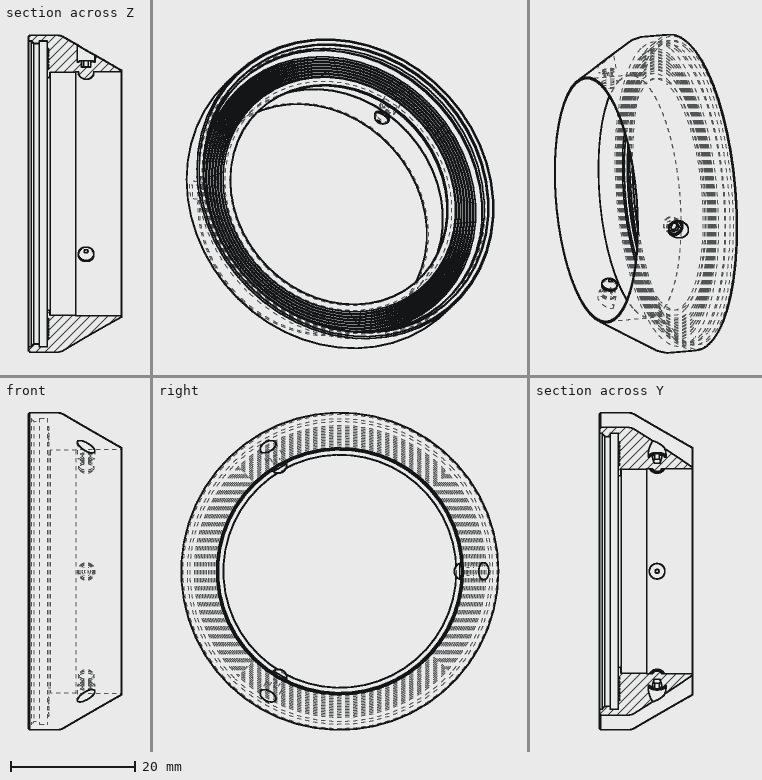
import cadquery as cq
import math

outer_dia = 51.0
length = 15.0
mouth_chamfer = 0.25

blend_start = 4.65
blend_radius = 2.0
cone_angle = math.radians(30)

thread_dia = 48.25
undercut_dia = 49.1
entry_depth = 0.45
undercut_start = 1.8
flange_face = 3.0

flange_thickness = 0.5
aperture_dia = 37.4
seat_dia = 39.0
seat_entry_dia = 39.2
seat_entry_start = 7.6

groove_count = 7
groove_width = 0.5
groove_inner_dia = 39.95

screw_count = 3
screw_x = 9.3
screw_dia = 2.5
screw_head_dia = 2.1
screw_top = 21.4
screw_body_end = 19.25
screw_tip = 18.4
tip_flat_dia = 0.6
tip_bulge = 0.1
socket_width = 1.3
socket_depth = 1.0
counterbore_dia = 2.8


def revolve_about_x(outline):
    """Turn a closed (axial, radial) outline around the X axis."""
    return outline.close().revolve(360, (0, 0, 0), (1, 0, 0))


def outer_body():
    radius = outer_dia / 2
    blend_end_x = blend_start + blend_radius * math.sin(cone_angle)
    blend_end_r = radius - blend_radius * (1 - math.cos(cone_angle))
    blend_mid_x = blend_start + blend_radius * math.sin(cone_angle / 2)
    blend_mid_r = radius - blend_radius * (1 - math.cos(cone_angle / 2))
    end_radius = blend_end_r - (length - blend_end_x) * math.tan(cone_angle)
    outline = (
        cq.Workplane("XY")
        .lineTo(0, radius - mouth_chamfer)
        .lineTo(mouth_chamfer, radius)
        .lineTo(blend_start, radius)
        .threePointArc((blend_mid_x, blend_mid_r), (blend_end_x, blend_end_r))
        .lineTo(length, end_radius)
        .lineTo(length, 0)
    )
    return revolve_about_x(outline)


def bore():
    thread_radius = thread_dia / 2
    undercut_radius = undercut_dia / 2
    seat_face = flange_face + flange_thickness
    outline = (
        cq.Workplane("XY")
        .lineTo(0, undercut_radius)
        .lineTo(entry_depth, undercut_radius)
        .lineTo(entry_depth + undercut_radius - thread_radius, thread_radius)
        .lineTo(undercut_start, thread_radius)
        .lineTo(undercut_start, undercut_radius)
        .lineTo(flange_face, undercut_radius)
        .lineTo(flange_face, aperture_dia / 2)
        .lineTo(seat_face, aperture_dia / 2)
        .lineTo(seat_face, seat_dia / 2)
        .lineTo(seat_entry_start, seat_dia / 2)
        .lineTo(seat_entry_start, seat_entry_dia / 2)
        .lineTo(length, seat_entry_dia / 2)
        .lineTo(length, 0)
    )
    return revolve_about_x(outline)


def flange_grooves():
    inner_radius = groove_inner_dia / 2
    outline = cq.Workplane("XY").moveTo(flange_face, inner_radius)
    for index in range(groove_count):
        start_radius = inner_radius + index * groove_width
        outline = outline.lineTo(flange_face + groove_width / 2, start_radius + groove_width / 2)
        outline = outline.lineTo(flange_face, start_radius + groove_width)
    outer_radius = inner_radius + groove_count * groove_width
    outline = outline.lineTo(flange_face - groove_width, outer_radius)
    outline = outline.lineTo(flange_face - groove_width, inner_radius)
    return revolve_about_x(outline)


head_edge = screw_top - (screw_dia - screw_head_dia) / 2


def screw_counterbore():
    return (
        cq.Workplane("XY", origin=(screw_x, 0, head_edge))
        .circle(counterbore_dia / 2)
        .extrude(outer_dia / 2)
    )


def set_screw():
    body_radius = screw_dia / 2
    tip_radius = tip_flat_dia / 2
    dome_mid = ((body_radius + tip_radius) / 2 + tip_bulge, (screw_body_end + screw_tip) / 2 - tip_bulge)
    return (
        cq.Workplane("XZ", origin=(screw_x, 0, 0))
        .moveTo(0, screw_tip)
        .lineTo(tip_radius, screw_tip)
        .threePointArc(dome_mid, (body_radius, screw_body_end))
        .lineTo(body_radius, head_edge)
        .lineTo(screw_head_dia / 2, screw_top)
        .lineTo(0, screw_top)
        .close()
        .revolve(360, (0, 0, 0), (0, 1, 0))
    )


def hex_socket():
    return (
        cq.Workplane("XY", origin=(screw_x, 0, screw_top - socket_depth))
        .polygon(6, socket_width / math.cos(math.pi / 6))
        .extrude(2 * socket_depth)
    )


def turned(shape, angle):
    """Turn a shape around the X axis."""
    return shape.rotate((0, 0, 0), (1, 0, 0), angle)


result = outer_body().cut(bore()).cut(flange_grooves())
for index in range(screw_count):
    angle = index * 360 / screw_count - 90
    result = result.cut(turned(screw_counterbore(), angle))
    result = result.union(turned(set_screw(), angle))
    result = result.cut(turned(hex_socket(), angle))